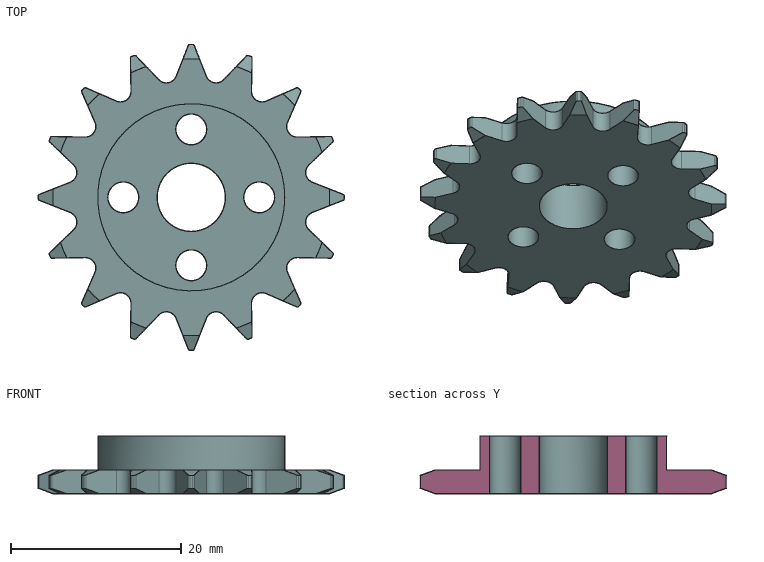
import cadquery as cq
import math

tip_diameter = 36.0
tooth_count = 16
plate_thickness = 2.8
hub_diameter = 22.0
hub_height = 4.0
bore_diameter = 8.0
bolt_hole_diameter = 3.6
bolt_circle_diameter = 16.0
bolt_hole_count = 4

tip_width = 0.6
flank_angle = 21.5
gap_radius = 1.22
tip_rounding = 0.2
gap_overrun = 1.8

bevel_width = 1.73
bevel_depth = 0.65

tip_radius = tip_diameter / 2
total_height = plate_thickness + hub_height
tooth_pitch = 360 / tooth_count


def tooth_gap():
    """Cutter for the gap centred on +X: a round root between two straight flanks."""
    half_pitch = math.radians(tooth_pitch / 2)
    flank_slope = half_pitch + math.radians(flank_angle)

    half_tip_angle = math.asin(tip_width / tip_diameter)
    corner_x = tip_radius * math.cos(half_pitch - half_tip_angle)
    corner_y = tip_radius * math.sin(half_pitch - half_tip_angle)

    apex_x = corner_x - corner_y / math.tan(flank_slope)
    centre_x = apex_x + gap_radius / math.sin(flank_slope)
    tangent_x = centre_x - gap_radius * math.sin(flank_slope)
    tangent_y = gap_radius * math.cos(flank_slope)

    outer_x = tip_radius + gap_overrun
    outer_y = (outer_x - apex_x) * math.tan(flank_slope)

    return (
        cq.Workplane("XY")
        .moveTo(outer_x, outer_y)
        .lineTo(tangent_x, tangent_y)
        .threePointArc((centre_x - gap_radius, 0), (tangent_x, -tangent_y))
        .lineTo(outer_x, -outer_y)
        .close()
        .extrude(plate_thickness)
    )


def is_tip_corner(edge):
    """True for the upright edges where a flank meets the tip circle."""
    centre = edge.Center()
    return math.hypot(centre.x, centre.y) > tip_radius - bevel_width


def toothed_plate():
    """Flat plate with all its tooth gaps cut and the tooth corners rounded."""
    plate = cq.Workplane("XY").circle(tip_radius).extrude(plate_thickness)
    gap = tooth_gap()
    for tooth in range(tooth_count):
        gap_angle = (tooth + 0.5) * tooth_pitch
        plate = plate.cut(gap.rotate((0, 0, 0), (0, 0, 1), gap_angle))
    return plate.edges("|Z").filter(is_tip_corner).fillet(tip_rounding)


def bevel_envelope():
    """Turned disc whose rim tapers towards the middle of the plate on both faces."""
    face_radius = tip_radius - bevel_width
    return (
        cq.Workplane("XZ")
        .moveTo(0, 0)
        .lineTo(face_radius, 0)
        .lineTo(tip_radius, bevel_depth)
        .lineTo(tip_radius, plate_thickness - bevel_depth)
        .lineTo(face_radius, plate_thickness)
        .lineTo(0, plate_thickness)
        .close()
        .revolve(360, (0, 0), (0, 1))
    )


def hub():
    """Round hub that rises above the plate."""
    return cq.Workplane("XY").circle(hub_diameter / 2).extrude(total_height)


def through_holes():
    """Cutters for the centre bore and the ring of bolt holes around it."""
    bore = cq.Workplane("XY").circle(bore_diameter / 2).extrude(total_height)
    bolt_holes = (
        cq.Workplane("XY")
        .polarArray(bolt_circle_diameter / 2, 0, 360, bolt_hole_count)
        .circle(bolt_hole_diameter / 2)
        .extrude(total_height)
    )
    return bore.union(bolt_holes)


result = toothed_plate().intersect(bevel_envelope()).union(hub()).cut(through_holes())